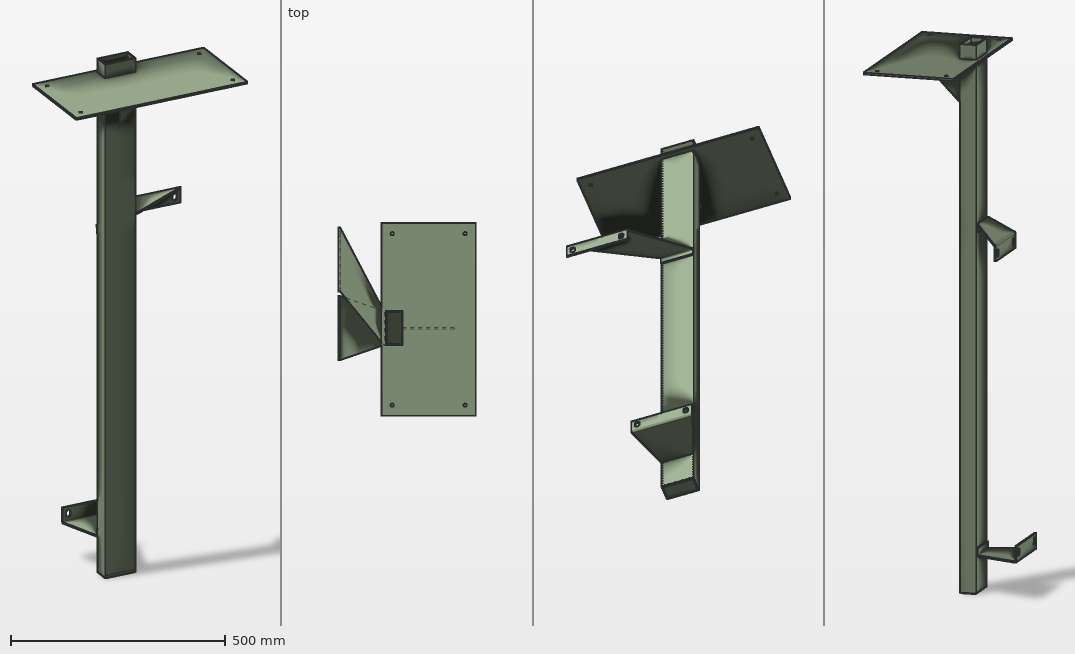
import cadquery as cq

POST_X = 40.0
POST_Y = 80.0
POST_HEIGHT = 1312.0
POST_WALL = 3.0

CAP_THICKNESS = 8.0
CAP_PROUD = 2.0

PLATE_X = 220.0
PLATE_Y = 450.0
PLATE_THICKNESS = 5.0
PLATE_OVERHANG = 10.0
PLATE_SHIFT_Y = 20.0
POST_HEAD_ABOVE_PLATE = 35.0
PLATE_TOP_Z = POST_HEIGHT - POST_HEAD_ABOVE_PLATE
PLATE_BOTTOM_Z = PLATE_TOP_Z - PLATE_THICKNESS
PLATE_CENTER_X = PLATE_X / 2 - PLATE_OVERHANG
PLATE_HOLE_DIAMETER = 7.0
PLATE_HOLE_INSET = 25.0

GUSSET_LEG = 120.0
GUSSET_THICKNESS = 4.0

BRACKET_REACH = 111.0
SHEET = 4.0
INNER_BEND_RADIUS = 0.5
OUTER_BEND_RADIUS = INNER_BEND_RADIUS + SHEET
OUTER_FLANGE_HEIGHT = 40.0
OUTER_FLANGE_LENGTH = 150.0
POST_FLANGE_HEIGHT = 20.0
FLANGE_SLOT_WIDTH = 12.0
FLANGE_SLOT_HEIGHT = 18.0
FLANGE_SLOT_INSET = 15.0
FLANGE_SLOT_EDGE = 17.0

UPPER_BRACKET_Z = 885.0
UPPER_BRACKET_SHIFT_Y = 160.0
LOWER_BRACKET_Z = 89.0
LOWER_BRACKET_SHIFT_Y = 0.0


def make_frame():
    """Post, end cap, plate and gusset welded into one solid."""
    bore_x = POST_X - 2 * POST_WALL
    bore_y = POST_Y - 2 * POST_WALL
    post_axis = cq.Workplane("XY").center(POST_X / 2, 0)
    post = post_axis.rect(POST_X, POST_Y).extrude(POST_HEIGHT)
    bore = post_axis.rect(bore_x, bore_y).extrude(POST_HEIGHT)
    cap = (
        post_axis.workplane(offset=-CAP_PROUD)
        .rect(bore_x, bore_y)
        .extrude(CAP_THICKNESS)
    )
    hole_span_x = PLATE_X - 2 * PLATE_HOLE_INSET
    hole_span_y = PLATE_Y - 2 * PLATE_HOLE_INSET
    plate = (
        cq.Workplane("XY", origin=(PLATE_CENTER_X, PLATE_SHIFT_Y, PLATE_BOTTOM_Z))
        .rect(PLATE_X, PLATE_Y)
        .extrude(PLATE_THICKNESS)
        .faces(">Z")
        .workplane(origin=(PLATE_CENTER_X, PLATE_SHIFT_Y, 0))
        .rect(hole_span_x, hole_span_y, forConstruction=True)
        .vertices()
        .hole(PLATE_HOLE_DIAMETER)
    )
    gusset = (
        cq.Workplane("XZ", origin=(POST_X, 0, PLATE_BOTTOM_Z))
        .polyline([(0, 0), (GUSSET_LEG, 0), (0, -GUSSET_LEG)])
        .close()
        .extrude(GUSSET_THICKNESS / 2, both=True)
    )
    return post.union(plate).union(gusset).cut(bore).union(cap)


def bent_channel(length):
    """U-shaped channel along Y, open at the top, with rounded bends and a shorter flange on X = 0."""
    outside = (
        cq.Workplane("XY", origin=(-BRACKET_REACH / 2, 0, 0))
        .box(BRACKET_REACH, length, OUTER_FLANGE_HEIGHT, centered=(True, True, False))
        .edges("|Y and <Z")
        .fillet(OUTER_BEND_RADIUS)
    )
    inside = (
        cq.Workplane("XY", origin=(-BRACKET_REACH / 2, 0, SHEET))
        .box(BRACKET_REACH - 2 * SHEET, length, OUTER_FLANGE_HEIGHT, centered=(True, True, False))
        .edges("|Y and <Z")
        .fillet(INNER_BEND_RADIUS)
    )
    above_post_flange = cq.Workplane("XY", origin=(0, 0, POST_FLANGE_HEIGHT)).box(
        2 * SHEET, length, OUTER_FLANGE_HEIGHT, centered=(True, True, False)
    )
    return outside.cut(inside).cut(above_post_flange)


def make_bracket(shift_y):
    """Bracket with the outer face of its web on Z = 0 and its outer flange moved along Y by shift_y."""
    half_post = POST_Y / 2
    half_flange = OUTER_FLANGE_LENGTH / 2
    outer_bend_x = OUTER_BEND_RADIUS - BRACKET_REACH
    outline = (
        cq.Workplane("XY")
        .polyline(
            [
                (0, half_post),
                (-OUTER_BEND_RADIUS, half_post),
                (outer_bend_x, shift_y + half_flange),
                (-BRACKET_REACH, shift_y + half_flange),
                (-BRACKET_REACH, shift_y - half_flange),
                (outer_bend_x, shift_y - half_flange),
                (-OUTER_BEND_RADIUS, -half_post),
                (0, -half_post),
            ]
        )
        .close()
        .extrude(OUTER_FLANGE_HEIGHT)
    )
    slot_y = half_flange - FLANGE_SLOT_INSET
    slot_z = OUTER_FLANGE_HEIGHT - FLANGE_SLOT_EDGE
    slots = (
        cq.Workplane("YZ", origin=(-BRACKET_REACH, shift_y, slot_z))
        .pushPoints([(-slot_y, 0), (slot_y, 0)])
        .slot2D(FLANGE_SLOT_HEIGHT, FLANGE_SLOT_WIDTH, 90)
        .extrude(SHEET)
    )
    channel_length = 2 * (abs(shift_y) + OUTER_FLANGE_LENGTH)
    return bent_channel(channel_length).intersect(outline).cut(slots)


frame = make_frame()
upper_bracket = make_bracket(UPPER_BRACKET_SHIFT_Y).mirror("XY").translate((0, 0, UPPER_BRACKET_Z))
lower_bracket = make_bracket(LOWER_BRACKET_SHIFT_Y).translate((0, 0, LOWER_BRACKET_Z))

result = cq.Compound.makeCompound([frame.val(), upper_bracket.val(), lower_bracket.val()])